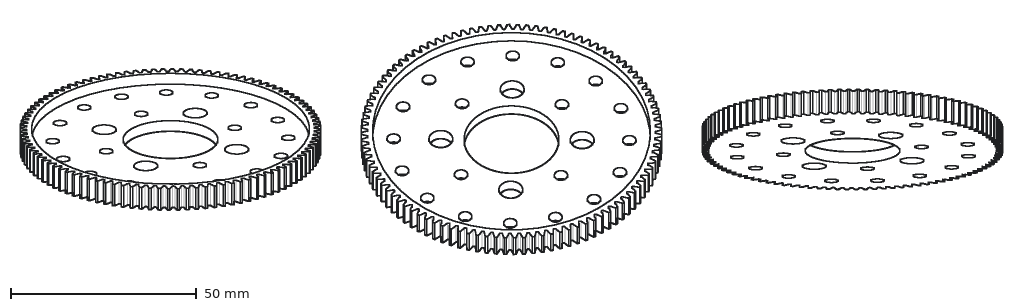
import cadquery as cq
import math

outer_diameter = 81.0
tooth_count = 100
addendum_factor = 1.0
dedendum_factor = 1.25
pressure_angle = math.radians(20)
module = outer_diameter / (tooth_count + 2 * addendum_factor)

outer_radius = outer_diameter / 2
pitch_radius = module * tooth_count / 2
flank_start_radius = pitch_radius - addendum_factor * module
root_radius = pitch_radius - dedendum_factor * module
base_radius = pitch_radius * math.cos(pressure_angle)
tooth_pitch_angle = 2 * math.pi / tooth_count

gear_height = 6.3
web_thickness = gear_height / 2
recess_diameter = 74.8

bore_diameter = 25.5
inner_circle_radius = 19.0
outer_circle_radius = 31.7
small_hole_diameter = 3.6
large_hole_diameter = 6.4
inner_hole_count = 4
large_hole_count = 4
outer_hole_count = 16


def involute_function(angle):
    return math.tan(angle) - angle


def tooth_half_angle(radius):
    """Angle from the tooth centre line to its involute flank at a radius."""
    flank_angle = math.acos(base_radius / radius)
    half_angle_at_pitch = tooth_pitch_angle / 4
    return half_angle_at_pitch + involute_function(pressure_angle) - involute_function(flank_angle)


def polar(radius, angle):
    return (radius * math.cos(angle), radius * math.sin(angle))


def gear_blank():
    """Solid gear with one tooth centred on +X and a rounded root in every gap."""
    flank_start_half = tooth_half_angle(flank_start_radius)
    pitch_half = tooth_half_angle(pitch_radius)
    tip_half = tooth_half_angle(outer_radius)
    outline = cq.Workplane("XY").moveTo(*polar(flank_start_radius, -flank_start_half))
    for tooth in range(tooth_count):
        centre = tooth * tooth_pitch_angle
        next_centre = centre + tooth_pitch_angle
        rising_pitch_point = polar(pitch_radius, centre - pitch_half)
        rising_tip = polar(outer_radius, centre - tip_half)
        tip_middle = polar(outer_radius, centre)
        falling_tip = polar(outer_radius, centre + tip_half)
        falling_pitch_point = polar(pitch_radius, centre + pitch_half)
        falling_flank_end = polar(flank_start_radius, centre + flank_start_half)
        gap_middle = polar(root_radius, centre + tooth_pitch_angle / 2)
        next_flank_start = polar(flank_start_radius, next_centre - flank_start_half)
        outline = (
            outline.threePointArc(rising_pitch_point, rising_tip)
            .threePointArc(tip_middle, falling_tip)
            .threePointArc(falling_pitch_point, falling_flank_end)
            .threePointArc(gap_middle, next_flank_start)
        )
    return outline.close().extrude(gear_height)


def cylinder(diameter):
    return cq.Workplane("XY").circle(diameter / 2).extrude(gear_height)


def hole_circle(circle_radius, hole_diameter, count, start_angle=0):
    """Ring of equally spaced cutters for through holes."""
    return (
        cq.Workplane("XY")
        .polarArray(circle_radius, start_angle, 360, count)
        .circle(hole_diameter / 2)
        .extrude(gear_height)
    )


recess = cylinder(recess_diameter).translate((0, 0, web_thickness))

result = (
    gear_blank()
    .cut(recess)
    .cut(cylinder(bore_diameter))
    .cut(hole_circle(inner_circle_radius, small_hole_diameter, inner_hole_count))
    .cut(hole_circle(inner_circle_radius, large_hole_diameter, large_hole_count, start_angle=45))
    .cut(hole_circle(outer_circle_radius, small_hole_diameter, outer_hole_count))
)